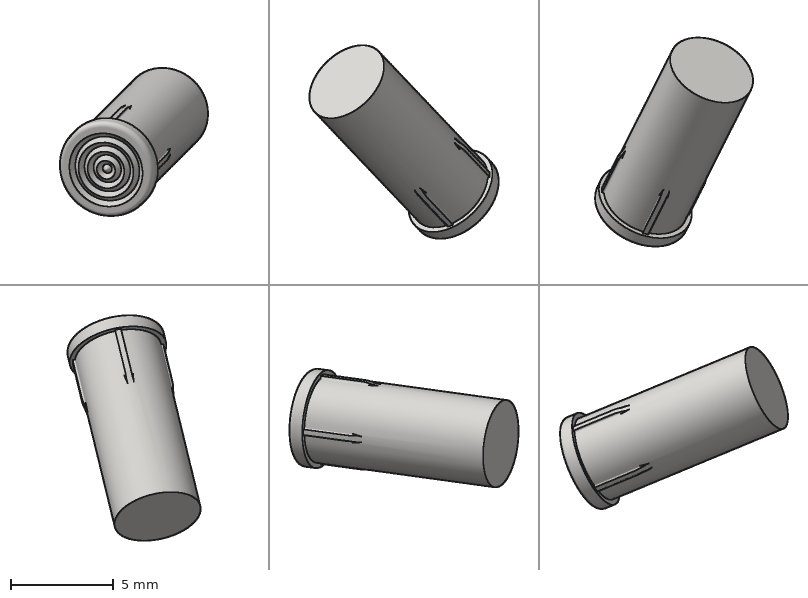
import cadquery as cq
import math

total_length = 10.29
body_radius = 2.15
flange_diameter = 4.83
flange_radius = flange_diameter / 2
flange_thickness = 0.77
flange_rounding = 0.25

groove_outer_radius = 1.86
groove_flank_count = 8
groove_flank_width = groove_outer_radius / groove_flank_count
groove_flank_angle = 45.0
groove_depth = groove_flank_width * math.tan(math.radians(groove_flank_angle))

rib_count = 4
rib_width = 0.3
rib_height = 0.11
rib_foot_rounding = 0.08
rib_foot_taper_length = 0.51
rib_end = 3.81
rib_ramp_length = 0.72
rib_blend_radius = 1.23
rib_embed = 0.21
rib_crest_radius = body_radius + rib_height


def make_head():
    """Revolved flange with a rounded front rim and a grooved face."""
    groove_zigzag = [
        (step * groove_flank_width, groove_depth * (step % 2))
        for step in range(groove_flank_count + 1)
    ]
    profile = (
        cq.Workplane("XY")
        .polyline(groove_zigzag)
        .lineTo(flange_radius - flange_rounding, 0)
        .radiusArc((flange_radius, flange_rounding), -flange_rounding)
        .lineTo(flange_radius, flange_thickness)
        .lineTo(0, flange_thickness)
        .close()
    )
    return profile.revolve(360, (0, 0, 0), (0, 1, 0))


def make_shaft():
    """Plain cylinder behind the flange."""
    shaft_start = cq.Workplane("XZ", origin=(0, flange_thickness, 0))
    return shaft_start.circle(body_radius).extrude(flange_thickness - total_length)


def make_rib_ring():
    """Revolved rib profile: round crest that ramps down into the body at its far end."""
    ramp_slope = rib_height / rib_ramp_length
    inner_radius = body_radius - rib_embed
    ramp_foot = rib_end + rib_embed / ramp_slope

    ramp_angle = math.atan(ramp_slope)
    tangent_length = rib_blend_radius * math.tan(ramp_angle / 2)
    blend_start = rib_end - rib_ramp_length - tangent_length
    blend_center_radius = rib_crest_radius - rib_blend_radius

    def blend_point(angle):
        return (
            blend_center_radius + rib_blend_radius * math.cos(angle),
            blend_start + rib_blend_radius * math.sin(angle),
        )

    profile = (
        cq.Workplane("XY")
        .moveTo(inner_radius, flange_thickness)
        .lineTo(rib_crest_radius, flange_thickness)
        .lineTo(rib_crest_radius, blend_start)
        .threePointArc(blend_point(ramp_angle / 2), blend_point(ramp_angle))
        .lineTo(inner_radius, ramp_foot)
        .close()
    )
    return profile.revolve(360, (0, 0, 0), (0, 1, 0))


def make_rib_section():
    """Constant rib section along Y: straight sides with concave feet tangent to the shaft."""
    foot_center_x = rib_width / 2 + rib_foot_rounding
    foot_center_z = math.sqrt((body_radius + rib_foot_rounding) ** 2 - foot_center_x**2)
    shaft_angle = math.atan2(foot_center_z, foot_center_x)
    tangency_x = body_radius * math.cos(shaft_angle)
    tangency_z = body_radius * math.sin(shaft_angle)
    inner_z = body_radius - rib_embed

    section = (
        cq.Workplane("XZ")
        .moveTo(-tangency_x, inner_z)
        .lineTo(-tangency_x, tangency_z)
        .radiusArc((-rib_width / 2, foot_center_z), -rib_foot_rounding)
        .lineTo(-rib_width / 2, flange_radius)
        .lineTo(rib_width / 2, flange_radius)
        .lineTo(rib_width / 2, foot_center_z)
        .radiusArc((tangency_x, tangency_z), -rib_foot_rounding)
        .lineTo(tangency_x, inner_z)
        .close()
    )
    return section.extrude(-total_length)


def make_rib_outline():
    """Plan shape of a rib: its feet narrow to the rib width along the end of the ramp."""
    full_half_width = rib_width / 2 + rib_foot_rounding
    taper_start = rib_end - rib_foot_taper_length
    outline_end = rib_end + rib_embed
    half = [
        (full_half_width, flange_thickness),
        (full_half_width, taper_start),
        (rib_width / 2, rib_end),
        (rib_width / 2, outline_end),
    ]
    mirrored_half = [(-x, y) for x, y in reversed(half)]
    return cq.Workplane("XY").polyline(half + mirrored_half).close().extrude(flange_radius)


def make_rib():
    """Rib on the +Z side of the shaft."""
    return make_rib_ring().intersect(make_rib_section()).intersect(make_rib_outline())


result = make_head().union(make_shaft())
rib = make_rib()
for index in range(rib_count):
    result = result.union(rib.rotate((0, 0, 0), (0, 1, 0), index * 360 / rib_count))